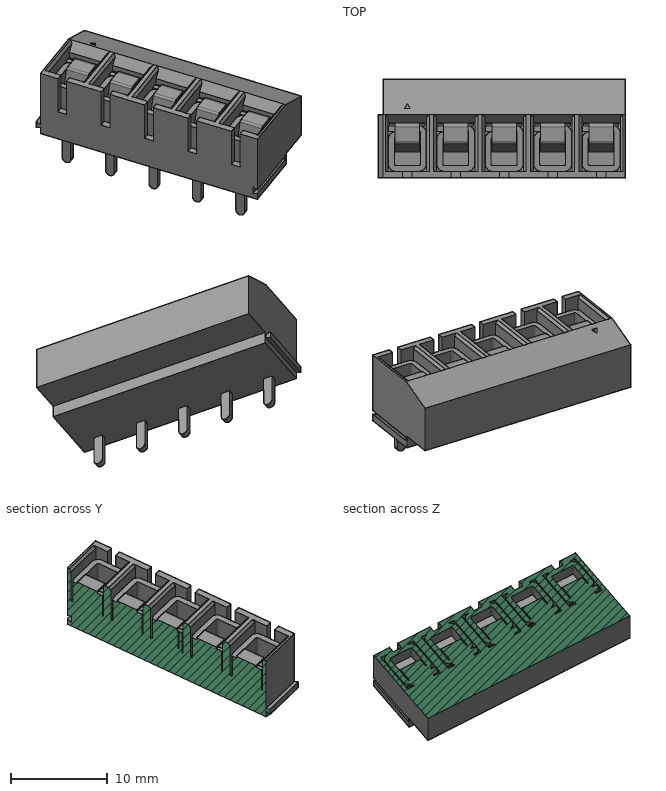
import cadquery as cq
import math


poles = 5
pitch = 5.0
sheet = 0.6

body_length = poles * pitch
body_depth = 10.2
body_height = 7.83
slope_start = 6.53
slope_drop = 1.4
step_depth = 6.68
step_height = 1.38

dovetail_reach = 0.5
dovetail_length = slope_start
dovetail_low = 0.6
dovetail_high = step_height
dovetail_taper = 0.18

front_wall = 0.7
opening_width = 4.55
cavity_width = 4.0
funnel_depth = 0.28
cavity_depth = 4.3
back_bevel_depth = 0.85
back_bevel_height = 1.0
cavity_back = slope_start - back_bevel_depth
cavity_floor = body_height - cavity_depth

cage_width = 3.9
cage_radius = 0.75
cage_inner_radius = cage_radius - sheet
lap_gap = 0.13
cage_drop = 1.53
cage_top = body_height - cage_drop
cage_back = 5.38
lap_back = cage_back - sheet
backing_width = 3.62
backing_drop = 0.08
backing_thickness = 0.2
backing_top = cage_top - backing_drop

guide_width = 2.5
guide_drop = 1.3
guide_top = body_height - guide_drop
guide_front = 2.7
guide_angle = math.radians(74)
guide_front_radius = 0.242
guide_back_radius = 0.4

pin_width = 1.0
pin_front = 1.0
pin_length = 3.57
slot_width = pin_width

mark_width = 0.6
mark_height = 0.5
mark_front = 7.15
mark_depth = 0.08


def upright_box(width, y_front, y_back, z_low, z_high, x_center=0.0):
    """Box centred on x_center, given by its Y and Z ranges."""
    return (
        cq.Workplane("XY", origin=(x_center, 0, z_low))
        .rect(width, y_back - y_front)
        .extrude(z_high - z_low)
        .translate((0, (y_front + y_back) / 2, 0))
    )


def side_prism(points, width):
    """Extrusion of a YZ outline, centred on X = 0."""
    return cq.Workplane("YZ").polyline(points).close().extrude(width / 2, both=True)


def make_housing():
    """Full-length body, notched under the back and sloped above it."""
    outline = [
        (0, 0),
        (step_depth, 0),
        (step_depth, step_height),
        (body_depth, step_height),
        (body_depth, body_height - slope_drop),
        (slope_start, body_height),
        (0, body_height),
    ]
    return cq.Workplane("YZ").polyline(outline).close().extrude(body_length)


def make_dovetail():
    """Dovetail tongue pointing to -X, with its narrow root at X = 0."""
    outline = [
        (0, dovetail_low + dovetail_taper),
        (-dovetail_reach, dovetail_low),
        (-dovetail_reach, dovetail_high),
        (0, dovetail_high - dovetail_taper),
    ]
    return cq.Workplane("XZ").polyline(outline).close().extrude(-dovetail_length)


def make_opening():
    """Clamp cavity with bevelled sides and a bevelled back edge."""
    side_outline = [
        (front_wall, cavity_floor),
        (cavity_back, cavity_floor),
        (cavity_back, body_height - back_bevel_height),
        (slope_start, body_height),
        (front_wall, body_height),
    ]
    funnel_bottom = body_height - funnel_depth
    front_outline = [
        (-cavity_width / 2, cavity_floor),
        (cavity_width / 2, cavity_floor),
        (cavity_width / 2, funnel_bottom),
        (opening_width / 2, body_height),
        (-opening_width / 2, body_height),
        (-cavity_width / 2, funnel_bottom),
    ]
    side = side_prism(side_outline, opening_width)
    front = cq.Workplane("XZ").polyline(front_outline).close().extrude(-body_depth)
    return side.intersect(front)


def make_slot():
    """Slot through the front wall, open at the top."""
    return upright_box(slot_width, 0, front_wall, cavity_floor, body_height)


def make_cage():
    """Rolled sheet ring with its two ends lapped at the back."""
    inner_half = cage_width / 2 - sheet
    ring = upright_box(cage_width, front_wall, lap_back, cavity_floor, cage_top)
    ring = ring.edges("|Z").fillet(cage_radius)
    outer_end = upright_box(cage_width, lap_back - cage_radius, cage_back, cavity_floor, cage_top)
    outer_end = outer_end.edges("|Z and >X and >Y").fillet(cage_radius)
    lap_room = upright_box(
        cage_width, 0, lap_back, cavity_floor, cage_top, inner_half - cage_width / 2
    )
    ring = ring.union(outer_end.cut(lap_room))
    window = upright_box(2 * inner_half, front_wall + sheet, lap_back - sheet, cavity_floor, cage_top)
    window = window.edges("|Z").fillet(cage_inner_radius)
    gap = upright_box(
        lap_gap, lap_back - 2 * sheet, lap_back, cavity_floor, cage_top, inner_half - lap_gap / 2
    )
    return ring.cut(window).cut(gap)


def make_backing():
    """Thin plate standing between the cage and the back of the cavity."""
    backing_back = cage_back + backing_thickness
    return upright_box(backing_width, cage_back, backing_back, cavity_floor, backing_top)


def make_guide():
    """Block with a steep front face and rounded upper edges."""
    face_top = guide_front + (guide_top - cavity_floor) / math.tan(guide_angle)
    outline = [
        (guide_front, cavity_floor),
        (face_top, guide_top),
        (cavity_back, guide_top),
        (cavity_back, cavity_floor),
    ]
    block = side_prism(outline, guide_width)
    block = block.edges("|X and >Z and >Y").fillet(guide_back_radius)
    front_edge = cq.selectors.NearestToPointSelector((0, face_top, guide_top))
    return block.edges(front_edge).fillet(guide_front_radius)


def make_pin():
    """Flat pin with a half-round tip."""
    radius = pin_width / 2
    shoulder = radius - pin_length
    return (
        cq.Workplane("XZ", origin=(0, pin_front, 0))
        .moveTo(-radius, 0)
        .lineTo(-radius, shoulder)
        .threePointArc((0, -pin_length), (radius, shoulder))
        .lineTo(radius, 0)
        .close()
        .extrude(-sheet)
    )


def make_mark():
    """Triangle sunk into the sloping top, following the slope."""
    triangle = [
        (-mark_width / 2, mark_front),
        (mark_width / 2, mark_front),
        (0, mark_front + mark_height),
    ]
    prism = cq.Workplane("XY").polyline(triangle).close().extrude(body_height)
    return prism.cut(make_housing().translate((-body_length / 2, 0, -mark_depth)))


dovetail = make_dovetail()
result = make_housing().cut(dovetail.translate((body_length, 0, 0))).union(dovetail)

opening = make_opening().union(make_slot())
contacts = make_cage().union(make_backing()).union(make_guide())
pin = make_pin()
for pole in range(poles):
    place = ((pole + 0.5) * pitch, 0, 0)
    result = result.cut(opening.translate(place))
    result = result.union(contacts.translate(place)).union(pin.translate(place))

result = result.cut(make_mark().translate((pitch / 2, 0, 0)))